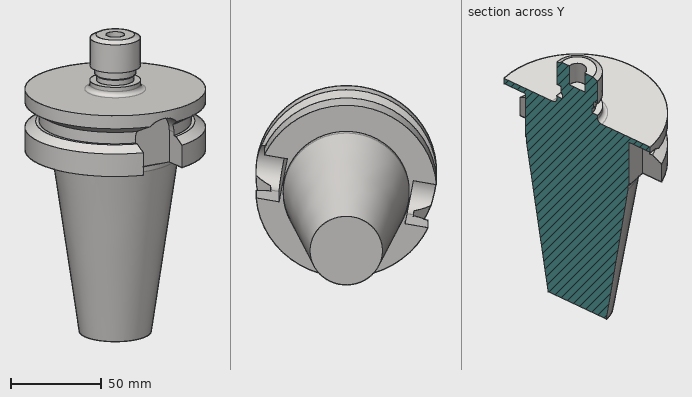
import cadquery as cq
import math

total_height = 171.8
gauge_z = 102.0
flange_bottom_z = 105.1
flange_top_z = 140.4
collar_top_z = 145.5
neck_step_z = 149.3
head_bottom_z = 153.8

taper_top_radius = 34.9
taper_ratio = 7 / 24
taper_bottom_radius = taper_top_radius - gauge_z * taper_ratio / 2

flange_radius = 50.0
groove_radius = 42.1
groove_flank_angle = 30
flank_slope = math.tan(math.radians(groove_flank_angle))
upper_flank_height = (flange_radius - groove_radius) * flank_slope
lower_flank_height = 3.5
ledge_radius = flange_radius - lower_flank_height / flank_slope
groove_upper_z = 132.8
groove_lower_z = 118.2

collar_radius = 14.1
collar_fillet = 2.7
neck_lower_radius = 10.3
neck_upper_radius = 11.3
neck_cone_height = 0.9
head_radius = 14.0
head_top_radius = 10.7
head_chamfer_height = 1.7
socket_radius = 5.2
socket_depth = 13.7

slot_width = 25.5
slot_top_z = 136.2
slot_floor_x = 35.4


def make_body():
    """Revolve the half profile of taper, flange, collar, neck and head around Z."""
    fillet_mid_radius = collar_radius + collar_fillet * (1 - math.sqrt(0.5))
    fillet_mid_z = flange_top_z + collar_fillet * (1 - math.sqrt(0.5))
    return (
        cq.Workplane("XZ")
        .lineTo(taper_bottom_radius, 0)
        .lineTo(taper_top_radius, gauge_z)
        .lineTo(taper_top_radius, flange_bottom_z)
        .lineTo(flange_radius, flange_bottom_z)
        .lineTo(flange_radius, groove_lower_z)
        .lineTo(ledge_radius, groove_lower_z + lower_flank_height)
        .lineTo(groove_radius, groove_lower_z + lower_flank_height)
        .lineTo(groove_radius, groove_upper_z - upper_flank_height)
        .lineTo(flange_radius, groove_upper_z)
        .lineTo(flange_radius, flange_top_z)
        .lineTo(collar_radius + collar_fillet, flange_top_z)
        .threePointArc((fillet_mid_radius, fillet_mid_z), (collar_radius, flange_top_z + collar_fillet))
        .lineTo(collar_radius, collar_top_z)
        .lineTo(neck_lower_radius, collar_top_z)
        .lineTo(neck_lower_radius, neck_step_z - neck_cone_height)
        .lineTo(neck_upper_radius, neck_step_z)
        .lineTo(neck_upper_radius, head_bottom_z)
        .lineTo(head_radius, head_bottom_z)
        .lineTo(head_radius, total_height - head_chamfer_height)
        .lineTo(head_top_radius, total_height)
        .lineTo(0, total_height)
        .close()
        .revolve(360, (0, 0, 0), (0, 1, 0))
    )


def make_drive_slot():
    """Round-topped slot cutter on the -X side, open through the flange's lower face."""
    half_width = slot_width / 2
    arc_start_z = slot_top_z - half_width
    return (
        cq.Workplane("YZ", origin=(-slot_floor_x, 0, 0))
        .moveTo(-half_width, flange_bottom_z)
        .lineTo(-half_width, arc_start_z)
        .threePointArc((0, slot_top_z), (half_width, arc_start_z))
        .lineTo(half_width, flange_bottom_z)
        .close()
        .extrude(slot_floor_x - flange_radius)
    )


def make_socket():
    """Blind round hole in the top of the head."""
    return (
        cq.Workplane("XY", origin=(0, 0, total_height - socket_depth))
        .circle(socket_radius)
        .extrude(socket_depth)
    )


result = make_body().cut(make_socket())
for turn in (0, 180):
    result = result.cut(make_drive_slot().rotate((0, 0, 0), (0, 0, 1), turn))